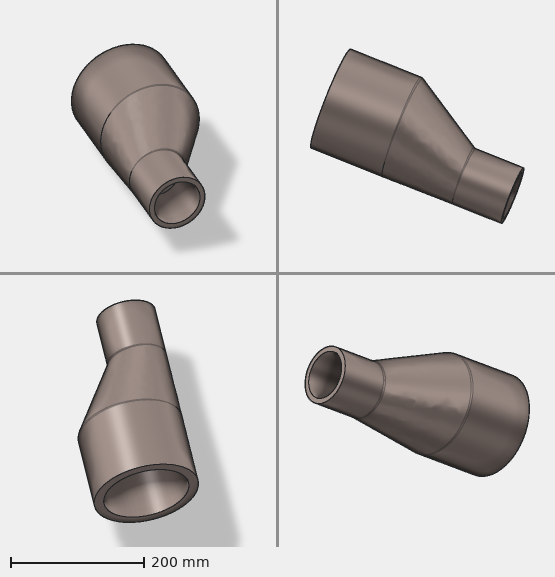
import cadquery as cq

total_length = 309.0
large_outer_diameter = 160.0
large_bore_diameter = 130.7
small_outer_diameter = 90.0
small_bore_diameter = 73.5
large_pipe_length = 116.0
small_pipe_length = 79.0
seam_fillet_radius = 6.2
flush_side_step = 0.05

taper_end = total_length - small_pipe_length
taper_length = taper_end - large_pipe_length
small_pipe_offset = -(large_outer_diameter - small_outer_diameter) / 2 + flush_side_step


def cylinder_along_x(start, length, diameter, center_y):
    return (
        cq.Workplane("YZ", origin=(start, center_y, 0))
        .circle(diameter / 2)
        .extrude(length)
    )


def reducer_body(large_diameter, small_diameter):
    """Solid large cylinder, eccentric taper and small cylinder joined end to end."""
    large_end = cylinder_along_x(0, large_pipe_length, large_diameter, 0)
    taper = (
        cq.Workplane("YZ", origin=(large_pipe_length, 0, 0))
        .circle(large_diameter / 2)
        .workplane(offset=taper_length)
        .center(small_pipe_offset, 0)
        .circle(small_diameter / 2)
        .loft(ruled=True)
    )
    small_end = cylinder_along_x(taper_end, small_pipe_length, small_diameter, small_pipe_offset)
    return large_end.union(taper).union(small_end)


def fillet_seam(body, seam_x):
    """Round the outer seam lying in the plane X = seam_x."""
    margin = 0.3
    reach = large_outer_diameter
    seam_region = cq.selectors.BoxSelector(
        (seam_x - margin, -reach, -reach),
        (seam_x + margin, reach, reach),
        boundingbox=True,
    )
    return body.edges(seam_region).fillet(seam_fillet_radius)


outer_body = reducer_body(large_outer_diameter, small_outer_diameter)
outer_body = fillet_seam(outer_body, large_pipe_length)
outer_body = fillet_seam(outer_body, taper_end)

bore = reducer_body(large_bore_diameter, small_bore_diameter)
result = outer_body.cut(bore)